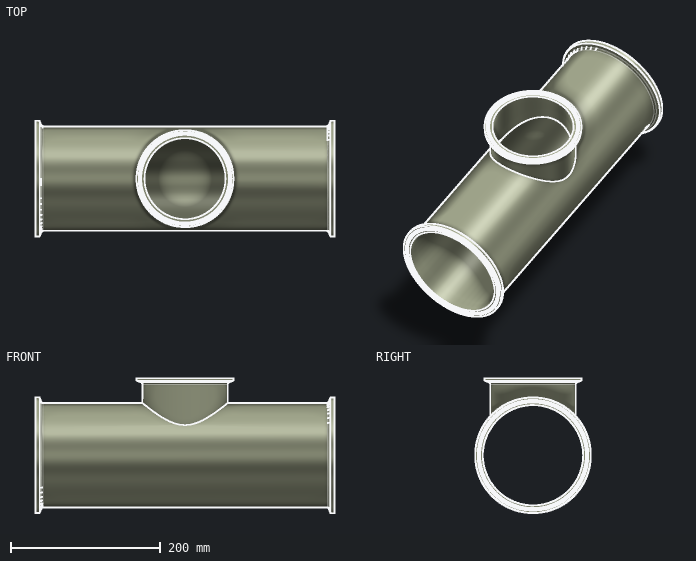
import cadquery as cq

run_length = 400.0
run_outer_radius = 140.0 / 2
run_bore_radius = 134.0 / 2
run_flange_radius = 155.0 / 2
run_rim_thickness = 5.5
run_cone_length = 2.0
run_groove_radius = 72.5

branch_outer_radius = 114.5 / 2
branch_bore_radius = 108.5 / 2
branch_flange_radius = 130.0 / 2
branch_rim_thickness = 3.5
branch_cone_length = 2.0
branch_groove_radius = 60.5
branch_height = 181.0 - run_flange_radius

edge_drop = 1.0
neck_fillet = 2.5
groove_width = 3.5
groove_floor_width = 2.0
groove_depth = 1.5


def flange(outer_radius, bore_radius, flange_radius, rim_thickness, cone_length):
    """Clamp flange with its sealing face at Z = 0 and its neck toward -Z."""
    cone_end = rim_thickness + cone_length
    neck_end = cone_end + neck_fillet
    blend_offset = neck_fillet * (1 - 0.5 ** 0.5)
    return (
        cq.Workplane("XZ")
        .moveTo(bore_radius, 0)
        .lineTo(flange_radius, 0)
        .lineTo(flange_radius, -rim_thickness + edge_drop)
        .radiusArc((flange_radius - edge_drop, -rim_thickness), edge_drop)
        .lineTo(outer_radius + neck_fillet, -cone_end)
        .threePointArc(
            (outer_radius + blend_offset, -cone_end - blend_offset),
            (outer_radius, -neck_end),
        )
        .lineTo(bore_radius, -neck_end)
        .close()
        .revolve(360, (0, 0, 0), (0, 1, 0))
    )


def gasket_groove(center_radius):
    """Ring with sloping sides that is cut into a sealing face at Z = 0."""
    half_width = groove_width / 2
    half_floor = groove_floor_width / 2
    return (
        cq.Workplane("XZ")
        .polyline([
            (center_radius - half_width, 0),
            (center_radius + half_width, 0),
            (center_radius + half_floor, -groove_depth),
            (center_radius - half_floor, -groove_depth),
        ])
        .close()
        .revolve(360, (0, 0, 0), (0, 1, 0))
    )


run_tube = cq.Workplane("YZ").circle(run_outer_radius).extrude(run_length / 2, both=True)
run_bore = cq.Workplane("YZ").circle(run_bore_radius).extrude(run_length / 2, both=True)
branch_tube = cq.Workplane("XY").circle(branch_outer_radius).extrude(branch_height)
branch_bore = cq.Workplane("XY").circle(branch_bore_radius).extrude(branch_height)
result = run_tube.union(branch_tube).cut(run_bore).cut(branch_bore)

run_flange = flange(
    run_outer_radius, run_bore_radius, run_flange_radius, run_rim_thickness, run_cone_length
)
run_groove = gasket_groove(run_groove_radius)
for side in (-1, 1):
    turn = ((0, 0, 0), (0, 1, 0), side * 90)
    shift = (side * run_length / 2, 0, 0)
    result = result.union(run_flange.rotate(*turn).translate(shift))
    result = result.cut(run_groove.rotate(*turn).translate(shift))

branch_shift = (0, 0, branch_height)
branch_flange = flange(
    branch_outer_radius, branch_bore_radius, branch_flange_radius,
    branch_rim_thickness, branch_cone_length,
)
result = result.union(branch_flange.translate(branch_shift))
result = result.cut(gasket_groove(branch_groove_radius).translate(branch_shift))